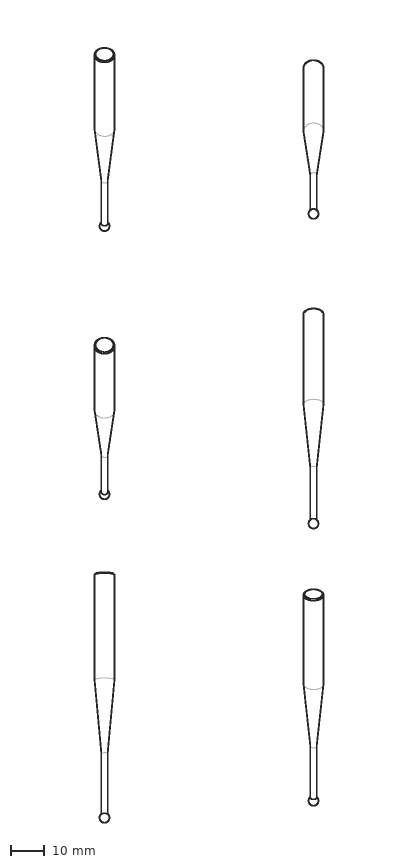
import cadquery as cq
import math

total_length = 75.0
shank_radius = 3.0
neck_radius = 1.0
ball_radius = 1.5
shank_chamfer = 0.4

taper_bottom = 21.0
shank_bottom = 43.1

half_length = total_length / 2
tip_z = -half_length
ball_center_z = tip_z + ball_radius
neck_start_z = ball_center_z + math.sqrt(ball_radius**2 - neck_radius**2)
top_z = half_length

profile = (
    cq.Workplane("XZ")
    .moveTo(0, tip_z)
    .threePointArc((ball_radius, ball_center_z), (neck_radius, neck_start_z))
    .lineTo(neck_radius, tip_z + taper_bottom)
    .lineTo(shank_radius, tip_z + shank_bottom)
    .lineTo(shank_radius, top_z - shank_chamfer)
    .lineTo(shank_radius - shank_chamfer, top_z)
    .lineTo(0, top_z)
    .close()
)

result = profile.revolve(360, (0, 0, 0), (0, 1, 0))